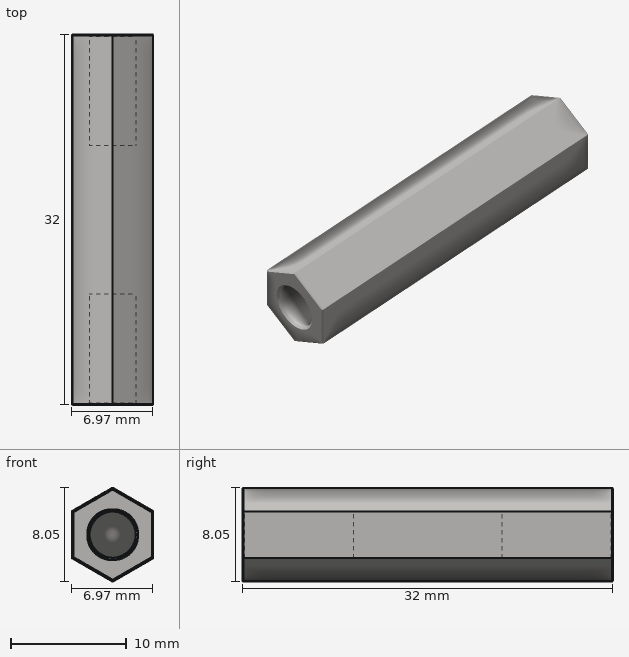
import cadquery as cq

length = 32.0
across_corners = 8.05
end_chamfer = 0.1
bore_diameter = 4.0
bore_depth = 9.6
lead_in = 0.2

half_length = length / 2


def hex_body():
    """Hexagonal bar along Y with corners pointing up and down."""
    bar = (
        cq.Workplane("XZ")
        .polygon(6, across_corners)
        .extrude(half_length, both=True)
        .rotate((0, 0, 0), (0, 1, 0), 30)
    )
    return bar.faces("<Y or >Y").edges().chamfer(end_chamfer)


def blind_bore():
    """Flat-bottomed bore in the -Y end, with a conical lead-in at its mouth."""
    radius = bore_diameter / 2
    floor_y = bore_depth - half_length
    profile = [
        (0, -half_length),
        (radius + lead_in, -half_length),
        (radius, lead_in - half_length),
        (radius, floor_y),
        (0, floor_y),
    ]
    return cq.Workplane("XY").polyline(profile).close().revolve(360, (0, 0, 0), (0, 1, 0))


front_bore = blind_bore()
rear_bore = front_bore.mirror("XZ")
result = hex_body().cut(front_bore).cut(rear_bore)